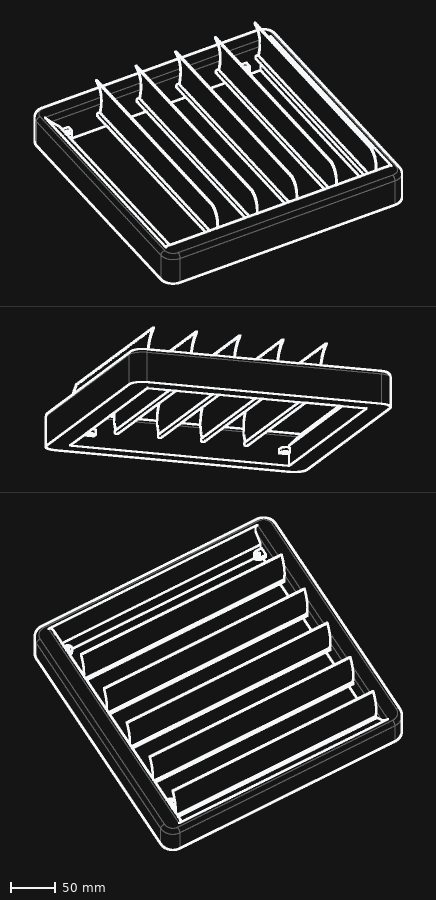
import cadquery as cq
import math

frame_size = 314.0
frame_height = 40.0
corner_radius = 16.0
edge_radius = 5.0
opening_size = 264.0
rim_width = 9.0
half_opening = opening_size / 2
half_mouth = frame_size / 2 - rim_width
slope_depth = half_mouth - half_opening

overall_height = 72.4
blade_count = 5
blade_pitch = 52.0
last_blade_y = 131.5
blade_clearance = 0.5
blade_thickness = 1.0
blade_radius = 80.0
blade_axis_z = frame_height
rod_diameter = 5.0
rod_z = 21.0
rod_setback = 1.0
rod_anchor = 2.0

ear_radius = 5.0
ear_thickness = 5.0
ear_top_z = 18.5
ear_reach = 7.0
ear_hole_diameter = 4.0
ear_rows_y = (108.5, -125.0)


def make_frame():
    """Square frame with rounded corners and a rounded top edge."""
    body = cq.Workplane("XY").rect(frame_size, frame_size).extrude(frame_height)
    body = body.edges("|Z").fillet(corner_radius)
    body = body.faces(">Z").edges().fillet(edge_radius)
    opening = cq.Workplane("XY").rect(opening_size, opening_size).extrude(frame_height)
    return body.cut(opening).cut(make_flared_mouth())


def make_flared_mouth():
    """Cutter that slopes the front and back walls and rounds the side walls' top edges."""
    slope_start_z = frame_height - slope_depth
    slopes = (
        cq.Workplane("YZ")
        .moveTo(-half_opening, slope_start_z)
        .lineTo(half_opening, slope_start_z)
        .lineTo(half_mouth, frame_height)
        .lineTo(-half_mouth, frame_height)
        .close()
        .extrude(half_opening + edge_radius, both=True)
    )
    rounded_x = half_opening + edge_radius
    round_start_z = frame_height - edge_radius
    sides = (
        cq.Workplane("XZ")
        .moveTo(-half_opening, 0)
        .lineTo(half_opening, 0)
        .lineTo(half_opening, round_start_z)
        .radiusArc((rounded_x, frame_height), edge_radius)
        .lineTo(-rounded_x, frame_height)
        .radiusArc((-half_opening, round_start_z), edge_radius)
        .close()
        .extrude(half_mouth, both=True)
    )
    return slopes.intersect(sides)


def make_blade(rear_y):
    """Curved blade that leans toward -Y at its tip, with the rod along its foot."""
    inner_radius = blade_radius - blade_thickness
    middle_radius = blade_radius - blade_thickness / 2
    axis_y = rear_y - blade_radius
    tip_angle = math.asin((overall_height - blade_axis_z) / blade_radius)
    foot_angle = math.asin((rod_z - blade_axis_z) / middle_radius)
    middle_angle = (tip_angle + foot_angle) / 2

    def arc_point(radius, angle):
        return (axis_y + radius * math.cos(angle), blade_axis_z + radius * math.sin(angle))

    blade_length = opening_size - 2 * blade_clearance
    blade = (
        cq.Workplane("YZ")
        .moveTo(*arc_point(inner_radius, foot_angle))
        .lineTo(*arc_point(blade_radius, foot_angle))
        .threePointArc(arc_point(blade_radius, middle_angle), arc_point(blade_radius, tip_angle))
        .lineTo(*arc_point(inner_radius, tip_angle))
        .threePointArc(arc_point(inner_radius, middle_angle), arc_point(inner_radius, foot_angle))
        .close()
        .extrude(blade_length / 2, both=True)
    )
    foot_y, foot_z = arc_point(middle_radius, foot_angle)
    rod = (
        cq.Workplane("YZ")
        .center(foot_y - rod_setback, foot_z)
        .circle(rod_diameter / 2)
        .extrude(half_opening + rod_anchor, both=True)
    )
    return blade.union(rod)


def make_ear(side, ear_y):
    """Round-ended ear with a screw hole, reaching in from one side wall."""
    hole_x = side * (half_opening - ear_reach)
    plane = cq.Workplane("XY", origin=(hole_x, ear_y, ear_top_z - ear_thickness))
    shank = plane.center(side * ear_reach / 2, 0).rect(ear_reach, 2 * ear_radius).extrude(ear_thickness)
    tip = plane.circle(ear_radius).extrude(ear_thickness)
    hole = plane.circle(ear_hole_diameter / 2).extrude(ear_thickness)
    return shank.union(tip).cut(hole)


result = make_frame()
for index in range(blade_count):
    result = result.union(make_blade(last_blade_y - index * blade_pitch))
for side in (-1, 1):
    for ear_y in ear_rows_y:
        result = result.union(make_ear(side, ear_y))